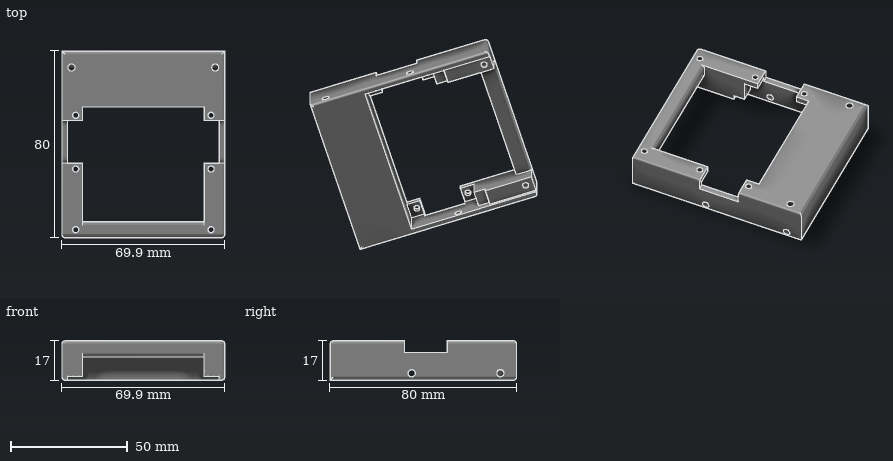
import cadquery as cq

WIDTH = 69.85
DEPTH = 80.0
HEIGHT = 17.0
EDGE_RADIUS = 1.5

FRONT = -DEPTH / 2
BACK = DEPTH / 2

WALL = 2.5
INNER_WIDTH = WIDTH - 2 * WALL
PLATE_THICKNESS = 3.0
PLATE_BOTTOM = HEIGHT - PLATE_THICKNESS
OPENING_WIDTH = 52.0
BACK_BLOCK_DEPTH = 24.0
BACK_BLOCK_FRONT = BACK - BACK_BLOCK_DEPTH

NOTCH_FRONT = -8.0
NOTCH_LENGTH = 18.2
NOTCH_BACK = NOTCH_FRONT + NOTCH_LENGTH
NOTCH_DEPTH = 5.0

POST_LENGTH = 25.8
POST_BACK = FRONT + POST_LENGTH
BASE_RECESS = 1.75
POST_STEP_LENGTH = 5.0
POST_STEP_HEIGHT = 4.0

BAR_DEPTH = 7.0
BAR_HEIGHT = 7.0

SCREW_DIAMETER = 2.5
SCREW_SPACING_X = 58.0
SCREW_FRONT_INSET = 3.5
SCREW_TO_MIDDLE = 26.0
SCREW_TO_BACK = 49.0
SCREW_FRONT_Y = FRONT + SCREW_FRONT_INSET
SCREW_MIDDLE_Y = SCREW_FRONT_Y + SCREW_TO_MIDDLE
SCREW_BACK_Y = SCREW_FRONT_Y + SCREW_TO_BACK

CABLE_DIAMETER = 3.0
CABLE_Z = 3.0
SOCKET_X = 30.8
SOCKET_BACK_INSET = 7.0
SOCKET_Y = BACK - SOCKET_BACK_INSET
SOCKET_WEB = 0.2
SIDE_HOLE_Y = -5.0


def box(x_min, x_max, y_min, y_max, z_min, z_max):
    """Axis-aligned box between the given limits."""
    size = (x_max - x_min, y_max - y_min, z_max - z_min)
    return cq.Workplane("XY").box(*size, centered=False).translate((x_min, y_min, z_min))


def centered_box(width, y_min, y_max, z_min, z_max):
    """Box of the given width, symmetric about the YZ plane."""
    return box(-width / 2, width / 2, y_min, y_max, z_min, z_max)


def outer_body():
    """Solid envelope, rounded except at the front base edge and the upright back edges."""
    body = centered_box(WIDTH, FRONT, BACK, 0, HEIGHT)
    rounded = body.edges(">Z or (<Z and |Y) or (<Z and >Y) or (|Z and <Y)")
    return rounded.fillet(EDGE_RADIUS)


def interior():
    """Everything removed from inside: opening, space below the plates and post relief."""
    opening = centered_box(OPENING_WIDTH, FRONT, BACK_BLOCK_FRONT, 0, HEIGHT)
    below_plates = centered_box(INNER_WIDTH, POST_BACK, BACK_BLOCK_FRONT, 0, PLATE_BOTTOM)
    base_recess = centered_box(INNER_WIDTH, FRONT, POST_BACK, 0, BASE_RECESS)
    step_front = POST_BACK - POST_STEP_LENGTH
    post_step = centered_box(INNER_WIDTH, step_front, POST_BACK, 0, POST_STEP_HEIGHT)
    return opening.union(below_plates).union(base_recess).union(post_step)


def side_notch():
    """Gap in the top of both side walls and plates."""
    return centered_box(WIDTH, NOTCH_FRONT, NOTCH_BACK, HEIGHT - NOTCH_DEPTH, HEIGHT)


def crossbar():
    """Bar between the posts with its four long edges rounded."""
    bar = centered_box(OPENING_WIDTH, FRONT, FRONT + BAR_DEPTH, HEIGHT - BAR_HEIGHT, HEIGHT)
    return bar.edges("|X").fillet(EDGE_RADIUS)


def screw_holes():
    """Through holes in the plates and posts."""
    points = []
    for x in (-SCREW_SPACING_X / 2, SCREW_SPACING_X / 2):
        for y in (SCREW_FRONT_Y, SCREW_MIDDLE_Y, SCREW_BACK_Y):
            points.append((x, y))
    return cq.Workplane("XY").pushPoints(points).circle(SCREW_DIAMETER / 2).extrude(HEIGHT)


def side_holes():
    """Straight cable holes through both side walls."""
    hole = cq.Workplane("YZ").center(SIDE_HOLE_Y, CABLE_Z).circle(CABLE_DIAMETER / 2)
    return hole.extrude(WIDTH / 2, both=True)


def cable_rods(side, axis_z):
    """Upright and sideways rods crossing at the cable sockets, the sideways one at height axis_z."""
    x = side * SOCKET_X
    radius = CABLE_DIAMETER / 2
    upright = cq.Workplane("XY", origin=(x, SOCKET_Y, 0)).circle(radius).extrude(HEIGHT)
    inner_end = (x - side * CABLE_DIAMETER, SOCKET_Y, axis_z)
    length = WIDTH / 2 - SOCKET_X + CABLE_DIAMETER
    sideways = cq.Workplane("YZ", origin=inner_end).circle(radius).extrude(side * length)
    return upright, sideways


def cable_sockets(side):
    """Blind holes from the top and the side, each ending on the round flank of the other."""
    upright, sideways = cable_rods(side, CABLE_Z)
    _, socket_floor = cable_rods(side, CABLE_Z + SOCKET_WEB)
    below_floor = box(-WIDTH / 2, WIDTH / 2, FRONT, BACK, 0, CABLE_Z + SOCKET_WEB)
    top_socket = upright.cut(socket_floor).cut(below_floor)
    inside = box(-SOCKET_X, SOCKET_X, FRONT, BACK, 0, HEIGHT)
    side_socket = sideways.cut(upright).cut(inside)
    return top_socket, side_socket


result = outer_body().cut(interior()).cut(side_notch()).union(crossbar())
result = result.cut(screw_holes()).cut(side_holes())
for side in (-1, 1):
    for socket in cable_sockets(side):
        result = result.cut(socket)